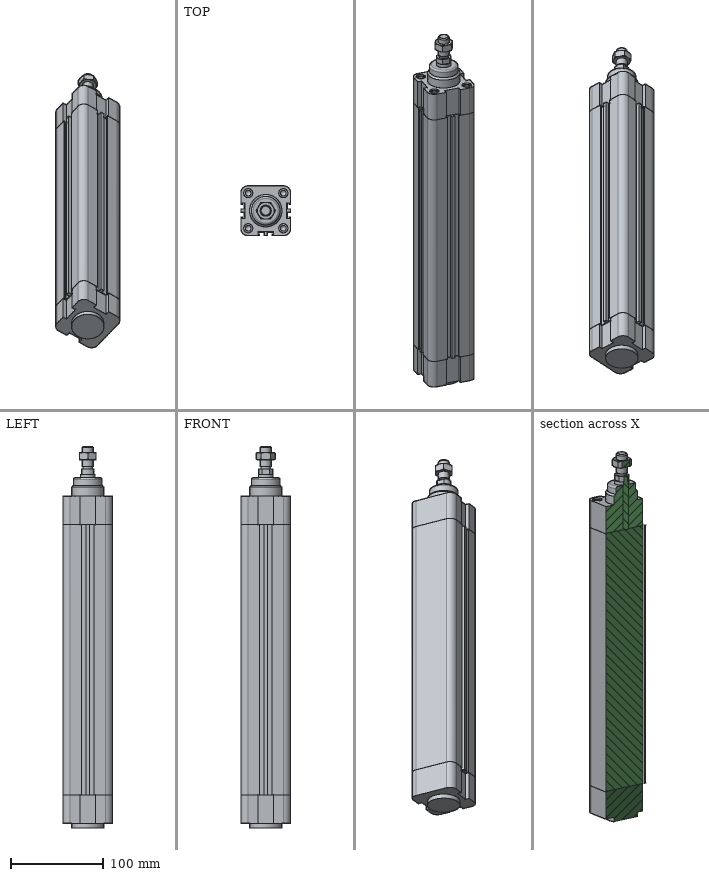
import cadquery as cq
import math

TOTAL_HEIGHT = 413.0
WIDTH = 54.0
CORNER_RADIUS = 8.0
PILOT_HEIGHT = 5.0
CAP_HEIGHT = 31.0
FRONT_CAP_TOP = 359.5

REAR_CAP_BOTTOM = PILOT_HEIGHT
TUBE_BOTTOM = REAR_CAP_BOTTOM + CAP_HEIGHT
TUBE_TOP = FRONT_CAP_TOP - CAP_HEIGHT

SLOT_WIDTH = 16.5
CAP_SLOT_DEPTH = 4.5
TUBE_SLOT_DEPTH = 3.7
SLOT_ANGLES = (0, 90, 270)
SLOT_MOUTH_WIDTH = 13.5
LIP_THICKNESS = 1.5
RIB_WIDTH = 3.7

COLLAR_DIAMETER = 35.0
COLLAR_HEIGHT = 11.5
NECK_DIAMETER = 31.0
NECK_HEIGHT = 8.3
NECK_ROUND = 2.0

HOLE_OFFSET = 19.0
COUNTERBORE_DIAMETER = 10.0
COUNTERBORE_DEPTH = 1.5
HOLE_DIAMETER = 6.0
HOLE_DEPTH = 4.0
DRILL_POINT_HEIGHT = 1.5

ROD_DIAMETER = 16.0
ROD_SHOULDER = 388.5
FLATS_BOTTOM = 383.0
FLATS_DIAMETER = 15.5
FLATS_WIDTH = 13.2
UNDERCUT_DIAMETER = 10.7
UNDERCUT_TOP = 391.0
THREAD_DIAMETER = 12.0
THREAD_TIP_DIAMETER = 10.0
THREAD_CHAMFER_HEIGHT = 1.45

NUT_SIDES = 6
NUT_WIDTH = 18.0
NUT_HEIGHT = 8.0
NUT_BOTTOM = 398.5
NUT_CHAMFER_ANGLE = 30.0


def cylinder(diameter, bottom, height):
    return cq.Workplane("XY").workplane(offset=bottom).circle(diameter / 2).extrude(height)


def square_bar(bottom, height):
    bar = cq.Workplane("XY").workplane(offset=bottom).rect(WIDTH, WIDTH).extrude(height)
    return bar.edges("|Z").fillet(CORNER_RADIUS)


def side_box(width, outer_depth, inner_depth, bottom, height):
    """Box at the middle of the -Y side, between two depths below that side."""
    return (
        cq.Workplane("XY")
        .workplane(offset=bottom)
        .center(0, -WIDTH / 2 + (outer_depth + inner_depth) / 2)
        .rect(width, inner_depth - outer_depth)
        .extrude(height)
    )


def cut_on_sides(body, cutter):
    for angle in SLOT_ANGLES:
        body = body.cut(cutter.rotate((0, 0, 0), (0, 0, 1), angle))
    return body


def make_cap(bottom):
    slot = side_box(SLOT_WIDTH, 0, CAP_SLOT_DEPTH, bottom, CAP_HEIGHT)
    return cut_on_sides(square_bar(bottom, CAP_HEIGHT), slot)


def make_screw_hole():
    """Counterbored blind hole with a drill point, opening at the front cap's top face."""
    bore_floor = COUNTERBORE_DEPTH + HOLE_DEPTH
    profile = [
        (0, 0),
        (COUNTERBORE_DIAMETER / 2, 0),
        (COUNTERBORE_DIAMETER / 2, -COUNTERBORE_DEPTH),
        (HOLE_DIAMETER / 2, -COUNTERBORE_DEPTH),
        (HOLE_DIAMETER / 2, -bore_floor),
        (0, -bore_floor - DRILL_POINT_HEIGHT),
    ]
    hole = cq.Workplane("XZ").polyline(profile).close().revolve(360, (0, 0), (0, 1))
    return hole.translate((0, 0, FRONT_CAP_TOP))


def make_front_cap():
    neck_bottom = FRONT_CAP_TOP + COLLAR_HEIGHT
    collar = cylinder(COLLAR_DIAMETER, FRONT_CAP_TOP, COLLAR_HEIGHT)
    collar = collar.faces(">Z").edges().chamfer((COLLAR_DIAMETER - NECK_DIAMETER) / 2)
    neck = cylinder(NECK_DIAMETER, neck_bottom, NECK_HEIGHT)
    neck = neck.faces(">Z").edges().fillet(NECK_ROUND)
    cap = make_cap(TUBE_TOP).union(collar).union(neck)
    hole = make_screw_hole()
    for x in (-HOLE_OFFSET, HOLE_OFFSET):
        for y in (-HOLE_OFFSET, HOLE_OFFSET):
            cap = cap.cut(hole.translate((x, y, 0)))
    rod_bore = cylinder(ROD_DIAMETER, TUBE_TOP, neck_bottom + NECK_HEIGHT - TUBE_TOP)
    return cap.cut(rod_bore)


def make_rear_cap():
    return make_cap(REAR_CAP_BOTTOM).union(cylinder(COLLAR_DIAMETER, 0, PILOT_HEIGHT))


def make_tube():
    length = TUBE_TOP - TUBE_BOTTOM
    mouth = side_box(SLOT_MOUTH_WIDTH, 0, TUBE_SLOT_DEPTH, TUBE_BOTTOM, length)
    undercut = side_box(SLOT_WIDTH, LIP_THICKNESS, TUBE_SLOT_DEPTH, TUBE_BOTTOM, length)
    rib = side_box(RIB_WIDTH, 0, TUBE_SLOT_DEPTH, TUBE_BOTTOM, length)
    return cut_on_sides(square_bar(TUBE_BOTTOM, length), mouth.union(undercut).cut(rib))


def make_rod():
    rod = cylinder(ROD_DIAMETER, TUBE_TOP, FLATS_BOTTOM - TUBE_TOP)
    flats_height = ROD_SHOULDER - FLATS_BOTTOM
    flats_slab = (
        cq.Workplane("XY")
        .workplane(offset=FLATS_BOTTOM)
        .rect(FLATS_DIAMETER, FLATS_WIDTH)
        .extrude(flats_height)
    )
    flats = cylinder(FLATS_DIAMETER, FLATS_BOTTOM, flats_height).intersect(flats_slab)
    undercut = cylinder(UNDERCUT_DIAMETER, ROD_SHOULDER, UNDERCUT_TOP - ROD_SHOULDER)
    thread = cylinder(THREAD_DIAMETER, UNDERCUT_TOP, TOTAL_HEIGHT - UNDERCUT_TOP)
    chamfer_run = (THREAD_DIAMETER - THREAD_TIP_DIAMETER) / 2
    thread = thread.faces(">Z").edges().chamfer(THREAD_CHAMFER_HEIGHT, chamfer_run)
    return rod.union(flats).union(undercut).union(thread)


def make_nut():
    corner_diameter = NUT_WIDTH / math.cos(math.pi / NUT_SIDES)
    nut = (
        cq.Workplane("XY")
        .workplane(offset=NUT_BOTTOM)
        .polygon(NUT_SIDES, corner_diameter)
        .extrude(NUT_HEIGHT)
    )
    corner_run = (corner_diameter - NUT_WIDTH) / 2
    corner_drop = corner_run * math.tan(math.radians(NUT_CHAMFER_ANGLE))
    chamfered_blank = (
        cylinder(corner_diameter, NUT_BOTTOM, NUT_HEIGHT)
        .edges("%CIRCLE")
        .chamfer(corner_drop, corner_run)
    )
    return nut.intersect(chamfered_blank).cut(cylinder(THREAD_DIAMETER, NUT_BOTTOM, NUT_HEIGHT))


front_cap = make_front_cap()
tube = make_tube()
rear_cap = make_rear_cap()
piston_rod = make_rod()
lock_nut = make_nut()

result = cq.Compound.makeCompound(
    [front_cap.val(), tube.val(), rear_cap.val(), piston_rod.val(), lock_nut.val()]
)